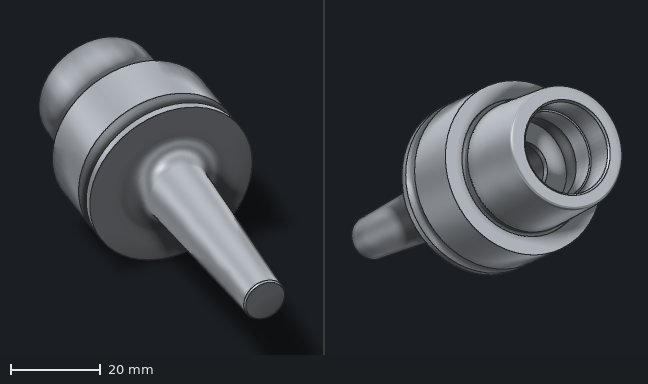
import cadquery as cq
import math

total_length = 90.0

shank_length = 20.0
shank_tip_radius = 14.3
shank_base_radius = 15.0
tip_face_radius = 13.5
tip_round_length = 0.6
shank_taper_end = 18.0
neck_start = 18.7
neck_radius = 14.8

relief_depth = 0.5
relief_outer_radius = 15.75

flange_radius = 20.0
flange_end = 40.0
groove_center = 36.045
groove_mouth_half_width = 2.025
groove_floor_radius = 17.5
groove_flank_angle = 30.0
groove_depth = flange_radius - groove_floor_radius
groove_flank_width = groove_depth * math.tan(math.radians(groove_flank_angle))
groove_floor_half_width = groove_mouth_half_width - groove_flank_width
groove_fillet = 0.45

nose_fillet = 4.9
nose_base_radius = 7.5
nose_tip_radius = 5.0
nose_chamfer_length = 0.5
nose_chamfer_height = 0.3

mouth_radius = 11.0
mouth_chamfer = 0.45
entry_radius = mouth_radius - mouth_chamfer
entry_end = 7.9
bore_radius = 10.1
bore_end = 13.95
undercut_radius = 11.0
bore_floor = shank_length
pilot_radius = 5.5
pilot_chamfer = 0.6
pilot_end = 30.0


def revolve_about_x(profile):
    return profile.close().revolve(360, (0, 0, 0), (1, 0, 0))


def make_body():
    nose_start = flange_end + nose_fillet
    round_height = shank_tip_radius - tip_face_radius
    relief_mid_rise = relief_depth * (1 - math.sqrt(0.5))
    fillet_mid_offset = nose_fillet * (1 - math.sqrt(0.5))
    profile = (
        cq.Workplane("XY")
        .moveTo(0, 0)
        .lineTo(0, tip_face_radius)
        .threePointArc(
            (tip_round_length * (1 - math.sqrt(0.5)), tip_face_radius + round_height * math.sqrt(0.5)),
            (tip_round_length, shank_tip_radius),
        )
        .lineTo(shank_taper_end, shank_base_radius)
        .lineTo(neck_start, shank_base_radius)
        .lineTo(neck_start, neck_radius)
        .lineTo(shank_length, neck_radius)
        .threePointArc(
            (shank_length + relief_depth * math.sqrt(0.5), neck_radius + relief_mid_rise),
            (shank_length + relief_depth, neck_radius + relief_depth),
        )
        .lineTo(shank_length + relief_depth, relief_outer_radius)
        .lineTo(shank_length, relief_outer_radius)
        .lineTo(shank_length, flange_radius)
        .lineTo(groove_center - groove_mouth_half_width, flange_radius)
        .lineTo(groove_center - groove_floor_half_width, groove_floor_radius)
        .lineTo(groove_center + groove_floor_half_width, groove_floor_radius)
        .lineTo(groove_center + groove_mouth_half_width, flange_radius)
        .lineTo(flange_end, flange_radius)
        .lineTo(flange_end, nose_base_radius + nose_fillet)
        .threePointArc(
            (flange_end + fillet_mid_offset, nose_base_radius + fillet_mid_offset),
            (nose_start, nose_base_radius),
        )
        .lineTo(total_length - nose_chamfer_length, nose_tip_radius)
        .lineTo(total_length, nose_tip_radius - nose_chamfer_height)
        .lineTo(total_length, 0)
    )
    return revolve_about_x(profile)


def round_groove_corners(body):
    reach = groove_floor_half_width + groove_fillet
    corners = cq.selectors.BoxSelector(
        (groove_center - reach, -groove_fillet, -groove_fillet),
        (groove_center + reach, groove_fillet, groove_fillet),
    )
    return body.edges(corners).fillet(groove_fillet)


def make_bore():
    profile = (
        cq.Workplane("XY")
        .moveTo(0, 0)
        .lineTo(0, mouth_radius)
        .lineTo(mouth_chamfer, entry_radius)
        .lineTo(entry_end, entry_radius)
        .lineTo(entry_end, bore_radius)
        .lineTo(bore_end, bore_radius)
        .lineTo(bore_end, undercut_radius)
        .lineTo(bore_floor, undercut_radius)
        .lineTo(bore_floor, pilot_radius + pilot_chamfer)
        .lineTo(bore_floor + pilot_chamfer, pilot_radius)
        .lineTo(pilot_end, pilot_radius)
        .lineTo(pilot_end, 0)
    )
    return revolve_about_x(profile)


result = round_groove_corners(make_body()).cut(make_bore())